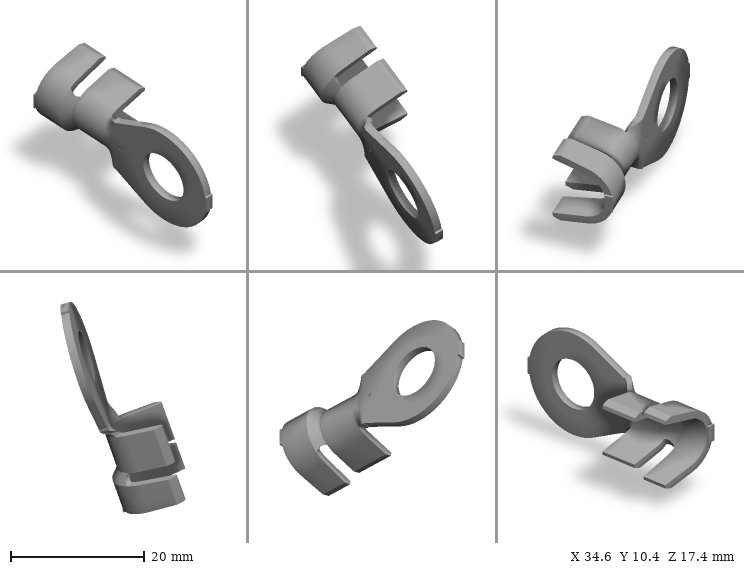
import cadquery as cq
import math


thickness = 1.27

ring_radius = 8.72
hole_radius = 4.15
tongue_start_x = -10.2
tongue_half_width = 4.75
tongue_straight = 0.3
dimple_x = -8.85
dimple_radius = 0.32
dimple_depth = 0.1

tab_half_width = 1.42
front_tab_x = 8.96
rear_tab_x = -25.65

wire_barrel_radius = 4.04
wire_barrel_start_x = -18.74
wire_barrel_end_x = -12.4
wire_arm_angle = 9.6
wire_arm_length = 5.64

insulation_barrel_start_x = -25.35
insulation_barrel_end_x = -20.3
insulation_arm_angle = 12.4
insulation_arm_length = 5.87
insulation_end_slant = 4.3

tip_bevel_length = 1.1
tip_bevel_depth = thickness / 2

rear_neck_half_angle = 65.0
rear_notch_angle = 63.0
rear_notch_radius = 0.95

front_neck_half_width = 3.33
front_neck_steps = 4

barrel_axis_y = wire_barrel_radius
insulation_barrel_radius = wire_barrel_radius + thickness
insulation_bottom_y = barrel_axis_y - insulation_barrel_radius
front_neck_rise = barrel_axis_y - math.sqrt(wire_barrel_radius**2 - front_neck_half_width**2)


def mirrored(point):
    """Mirror a (Y, Z) section point across the Z = 0 plane."""
    return (point[0], -point[1])


def barrel(outer_radius, arm_angle, arm_length, start_x, end_x):
    """Open U barrel with splayed arms whose tips are bevelled on the outside."""
    angle = math.radians(arm_angle)
    inner_radius = outer_radius - thickness

    def arm_point(along, radius):
        y = barrel_axis_y - radius * math.sin(angle) + along * math.cos(angle)
        z = radius * math.cos(angle) + along * math.sin(angle)
        return (y, z)

    outer_tangent = arm_point(0, outer_radius)
    bevel_start = arm_point(arm_length - tip_bevel_length, outer_radius)
    tip_outer = arm_point(arm_length, outer_radius - tip_bevel_depth)
    tip_inner = arm_point(arm_length, inner_radius)
    inner_tangent = arm_point(0, inner_radius)

    return (
        cq.Workplane("YZ", origin=(start_x, 0, 0))
        .moveTo(*outer_tangent)
        .lineTo(*bevel_start)
        .lineTo(*tip_outer)
        .lineTo(*tip_inner)
        .lineTo(*inner_tangent)
        .threePointArc((barrel_axis_y - inner_radius, 0), mirrored(inner_tangent))
        .lineTo(*mirrored(tip_inner))
        .lineTo(*mirrored(tip_outer))
        .lineTo(*mirrored(bevel_start))
        .lineTo(*mirrored(outer_tangent))
        .threePointArc((barrel_axis_y - outer_radius, 0), outer_tangent)
        .close()
        .extrude(end_x - start_x)
    )


def slant_x(y):
    """X of the leaning rear end of the insulation barrel at height Y."""
    lean = math.tan(math.radians(insulation_end_slant))
    return insulation_barrel_start_x + (y - insulation_bottom_y) * lean


def wire_barrel():
    return barrel(
        wire_barrel_radius, wire_arm_angle, wire_arm_length, wire_barrel_start_x, wire_barrel_end_x
    )


def insulation_barrel():
    """Barrel trimmed at the rear by a plane that leans forward toward the arm tips."""
    body = barrel(
        insulation_barrel_radius,
        insulation_arm_angle,
        insulation_arm_length,
        insulation_barrel_start_x,
        insulation_barrel_end_x,
    )
    trim_top_y = 3 * barrel_axis_y
    trim = (
        cq.Workplane("XY")
        .moveTo(slant_x(insulation_bottom_y), insulation_bottom_y)
        .lineTo(slant_x(trim_top_y), trim_top_y)
        .lineTo(slant_x(insulation_bottom_y), trim_top_y)
        .close()
        .extrude(2 * insulation_barrel_radius, both=True)
    )
    return body.cut(trim)


def rear_tab():
    """Flat sheared tab that follows the leaning end of the insulation barrel."""
    tab_top_y = insulation_bottom_y + thickness
    return (
        cq.Workplane("XY")
        .moveTo(rear_tab_x, insulation_bottom_y)
        .lineTo(slant_x(insulation_bottom_y), insulation_bottom_y)
        .lineTo(slant_x(tab_top_y), tab_top_y)
        .lineTo(rear_tab_x, tab_top_y)
        .close()
        .extrude(tab_half_width, both=True)
    )


def rear_neck():
    """Conical trough that joins the two barrels, with a round notch in each edge."""
    neck = (
        cq.Workplane("XY")
        .moveTo(insulation_barrel_end_x, insulation_bottom_y)
        .lineTo(wire_barrel_start_x, 0)
        .lineTo(wire_barrel_start_x, thickness)
        .lineTo(insulation_barrel_end_x, insulation_bottom_y + thickness)
        .close()
        .revolve(2 * rear_neck_half_angle, (0, barrel_axis_y, 0), (1, barrel_axis_y, 0))
        .rotate((0, barrel_axis_y, 0), (1, barrel_axis_y, 0), -rear_neck_half_angle)
    )
    notch_x = (insulation_barrel_end_x + wire_barrel_start_x) / 2
    angle = math.radians(rear_notch_angle)
    for side in (-1, 1):
        axis = cq.Vector(0, -math.cos(angle), side * math.sin(angle))
        notch = cq.Solid.makeCylinder(
            rear_notch_radius, 2 * insulation_barrel_radius, cq.Vector(notch_x, barrel_axis_y, 0), axis
        )
        neck = neck.cut(cq.Workplane(notch))
    return neck


def curved_strip_section(x, half_width, rise):
    """Wire of a bent strip section whose outer edge sits at Z = half_width, Y = rise."""
    radius = (half_width**2 + rise**2) / (2 * rise)
    inner_scale = (radius - thickness) / radius
    outer_edge = (rise, half_width)
    inner_edge = (radius - (radius - rise) * inner_scale, half_width * inner_scale)
    section = (
        cq.Workplane("YZ", origin=(x, 0, 0))
        .moveTo(*mirrored(outer_edge))
        .threePointArc((0, 0), outer_edge)
        .lineTo(*inner_edge)
        .threePointArc((thickness, 0), mirrored(inner_edge))
        .close()
    )
    return section.val()


def flat_strip_section(x, half_width):
    """Wire of the flat strip section, with edges in the same order as the bent ones."""
    section = (
        cq.Workplane("YZ", origin=(x, 0, 0))
        .moveTo(0, -half_width)
        .lineTo(0, half_width)
        .lineTo(thickness, half_width)
        .lineTo(thickness, -half_width)
        .close()
    )
    return section.val()


def front_neck():
    """Transition that opens the wire barrel trough out into the flat tongue along an S curve."""
    neck_length = tongue_start_x - wire_barrel_end_x
    sections = []
    for step in range(front_neck_steps):
        fraction = step / front_neck_steps
        opening = 3 * fraction**2 - 2 * fraction**3
        half_width = front_neck_half_width + opening * (tongue_half_width - front_neck_half_width)
        rise = front_neck_rise * (1 - opening)
        sections.append(curved_strip_section(wire_barrel_end_x + fraction * neck_length, half_width, rise))
    sections.append(flat_strip_section(tongue_start_x, tongue_half_width))
    return cq.Workplane(cq.Solid.makeLoft(sections))


def ring_tongue():
    """Flat tapered tongue, tangent to the ring, with the stud hole and carrier tab."""
    taper_x = tongue_start_x + tongue_straight
    corner_distance = math.hypot(taper_x, tongue_half_width)
    tangent_angle = math.atan2(tongue_half_width, taper_x) - math.acos(ring_radius / corner_distance)
    tangent_x = ring_radius * math.cos(tangent_angle)
    tangent_z = ring_radius * math.sin(tangent_angle)

    plate = (
        cq.Workplane("XZ")
        .moveTo(tongue_start_x, -tongue_half_width)
        .lineTo(taper_x, -tongue_half_width)
        .lineTo(tangent_x, -tangent_z)
        .threePointArc((ring_radius, 0), (tangent_x, tangent_z))
        .lineTo(taper_x, tongue_half_width)
        .lineTo(tongue_start_x, tongue_half_width)
        .close()
        .extrude(-thickness)
    )
    tab = (
        cq.Workplane("XZ")
        .center(front_tab_x / 2, 0)
        .rect(front_tab_x, 2 * tab_half_width)
        .extrude(-thickness)
    )
    hole = cq.Workplane("XZ").circle(hole_radius).extrude(-thickness)
    dimple = cq.Workplane("XZ").center(dimple_x, 0).circle(dimple_radius).extrude(-dimple_depth)
    return plate.union(tab).cut(hole).cut(dimple)


result = (
    ring_tongue()
    .union(front_neck())
    .union(wire_barrel())
    .union(rear_neck())
    .union(insulation_barrel())
    .union(rear_tab())
)